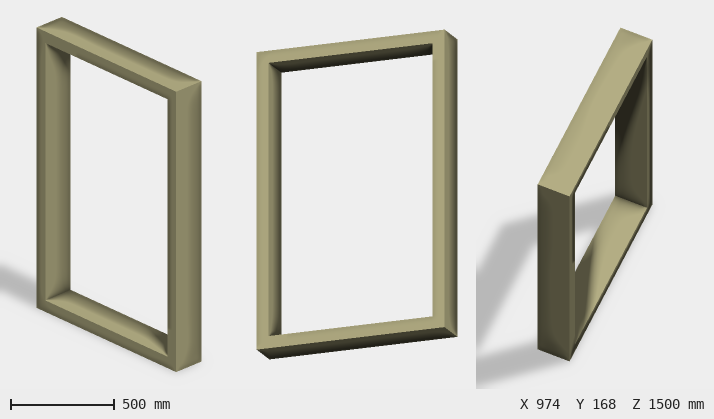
import cadquery as cq

width = 974.0
depth = 168.0
height = 1500.0

wall = 62.0

outer_block = cq.Workplane("XY").box(width, depth, height)
opening = cq.Workplane("XY").box(width - 2 * wall, depth, height - 2 * wall)

result = outer_block.cut(opening)